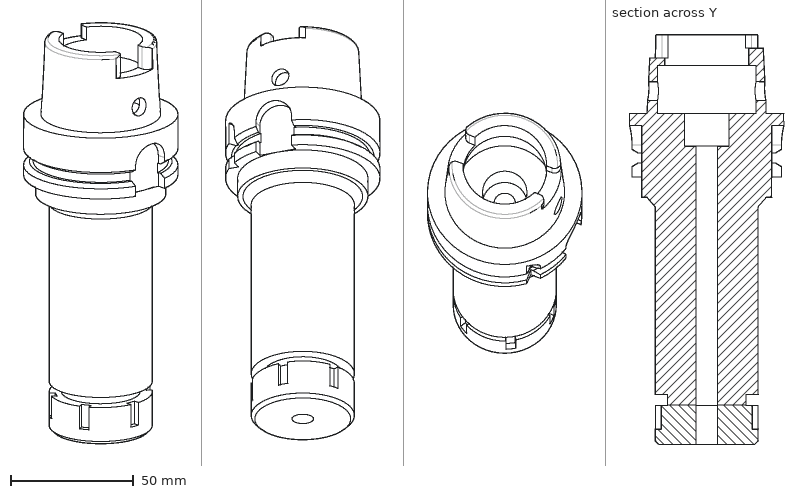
import cadquery as cq
import math


TOTAL_LENGTH = 167.0
NUT_HEIGHT = 16.0
SHANK_BOTTOM_Z = 20.4
SHANK_TOP_Z = 96.9
COLLAR_BOTTOM_Z = 100.7
FLANGE_TOP_Z = 135.0
FLANGE_HEIGHT = 26.0
FLANGE_BOTTOM_Z = FLANGE_TOP_Z - FLANGE_HEIGHT

FLANGE_DIAMETER = 63.0
FLANGE_RADIUS = FLANGE_DIAMETER / 2
COLLAR_RADIUS = 26.5
SHOULDER_RADIUS = 24.4
SHANK_RADIUS = 21.0
NECK_RADIUS = 16.0

TAPER_BASE_RADIUS = 24.4
TAPER_SLOPE = 1 / 20
TAPER_TOP_RADIUS = TAPER_BASE_RADIUS - (TOTAL_LENGTH - FLANGE_TOP_Z) * TAPER_SLOPE
RIM_ROUND = 1.3

GROOVE_CENTRE_Z = FLANGE_TOP_Z - 18.2
GROOVE_OUTER_WIDTH = 7.0
GROOVE_INNER_WIDTH = 4.0
GROOVE_LEDGE_RADIUS = 29.0
GROOVE_FLOOR_RADIUS = 27.5

RIM_BORE_RADIUS = 17.0
RIM_BORE_DEPTH = 12.7
UNDERCUT_RADIUS = 20.0
CAVITY_FLOOR_Z = FLANGE_TOP_Z
TUBE_BORE_RADIUS = 9.0
TUBE_BORE_DEPTH = 13.4
COOLANT_RADIUS = 4.3

CROSS_HOLE_DIAMETER = 7.5
CROSS_HOLE_Z = 144.0
RIM_SLOT_WIDTH = 12.5
RIM_SLOT_ROUND = 2.5
LEFT_RIM_SLOT_DEPTH = 5.5
RIGHT_RIM_SLOT_DEPTH = 9.5

RECESS_TOP_Z = FLANGE_TOP_Z - 5.0
DRIVE_WIDTH = 15.7
DRIVE_FLOOR_X = COLLAR_RADIUS
NOTCH_WIDTH = 14.0
NOTCH_FLOOR_X = 20.0
NOTCH_EDGE_Y = 20.0

NUT_RADIUS = SHANK_RADIUS
NUT_CHAMFER = 1.5
NUT_SLOT_COUNT = 6
NUT_SLOT_WIDTH = 4.0
NUT_SLOT_LENGTH = 9.7
NUT_SLOT_FLOOR_RADIUS = 18.5

CLEARANCE = 8.4


def cylinder(radius, bottom_z, top_z):
    """Cylinder on the tool axis between two heights."""
    return cq.Workplane("XY").workplane(offset=bottom_z).circle(radius).extrude(top_z - bottom_z)


def turned_blank():
    """Solid of revolution with every outside step, the V-groove and the rounded rim."""
    groove_top = GROOVE_CENTRE_Z + GROOVE_OUTER_WIDTH / 2
    groove_bottom = GROOVE_CENTRE_Z - GROOVE_OUTER_WIDTH / 2
    groove_floor_top = GROOVE_CENTRE_Z + GROOVE_INNER_WIDTH / 2
    groove_floor_bottom = GROOVE_CENTRE_Z - GROOVE_INNER_WIDTH / 2
    blank = (
        cq.Workplane("XZ")
        .moveTo(0, NUT_HEIGHT)
        .lineTo(NECK_RADIUS, NUT_HEIGHT)
        .lineTo(NECK_RADIUS, SHANK_BOTTOM_Z)
        .lineTo(SHANK_RADIUS, SHANK_BOTTOM_Z)
        .lineTo(SHANK_RADIUS, SHANK_TOP_Z)
        .lineTo(SHOULDER_RADIUS, COLLAR_BOTTOM_Z)
        .lineTo(COLLAR_RADIUS, COLLAR_BOTTOM_Z)
        .lineTo(COLLAR_RADIUS, FLANGE_BOTTOM_Z)
        .lineTo(FLANGE_RADIUS, FLANGE_BOTTOM_Z)
        .lineTo(FLANGE_RADIUS, groove_bottom)
        .lineTo(GROOVE_LEDGE_RADIUS, groove_floor_bottom)
        .lineTo(GROOVE_FLOOR_RADIUS, groove_floor_bottom)
        .lineTo(GROOVE_FLOOR_RADIUS, groove_floor_top)
        .lineTo(GROOVE_LEDGE_RADIUS, groove_floor_top)
        .lineTo(FLANGE_RADIUS, groove_top)
        .lineTo(FLANGE_RADIUS, FLANGE_TOP_Z)
        .lineTo(TAPER_BASE_RADIUS, FLANGE_TOP_Z)
        .lineTo(TAPER_TOP_RADIUS, TOTAL_LENGTH)
        .lineTo(0, TOTAL_LENGTH)
        .close()
        .revolve(360, (0, 0, 0), (0, 1, 0))
    )
    return blank.faces(">Z").edges().fillet(RIM_ROUND)


def internal_bores():
    """Clamping cavity with its undercut, coolant tube bore and through hole."""
    undercut_top_z = TOTAL_LENGTH - RIM_BORE_DEPTH
    rim_bore = cylinder(RIM_BORE_RADIUS, undercut_top_z, TOTAL_LENGTH)
    undercut = cylinder(UNDERCUT_RADIUS, CAVITY_FLOOR_Z, undercut_top_z)
    tube_bore = cylinder(TUBE_BORE_RADIUS, CAVITY_FLOOR_Z - TUBE_BORE_DEPTH, CAVITY_FLOOR_Z)
    coolant_hole = cylinder(COOLANT_RADIUS, NUT_HEIGHT, CAVITY_FLOOR_Z)
    return rim_bore.union(undercut).union(tube_bore).union(coolant_hole)


def cross_hole():
    """Hole along X through both walls of the taper."""
    return (
        cq.Workplane("YZ")
        .center(0, CROSS_HOLE_Z)
        .circle(CROSS_HOLE_DIAMETER / 2)
        .extrude(FLANGE_RADIUS, both=True)
    )


def rim_slot(depth):
    """Slot through the +X side of the rim, its mouth rounded into the taper surface."""
    half_width = RIM_SLOT_WIDTH / 2
    centre_y = half_width + RIM_SLOT_ROUND
    centre_distance = TAPER_TOP_RADIUS - RIM_SLOT_ROUND
    centre_x = math.sqrt(centre_distance**2 - centre_y**2)
    mouth_angle = math.atan2(centre_y, centre_x)
    middle_angle = (mouth_angle - math.pi / 2) / 2

    middle_x = centre_x + RIM_SLOT_ROUND * math.cos(middle_angle)
    middle_y = centre_y + RIM_SLOT_ROUND * math.sin(middle_angle)
    mouth_x = TAPER_TOP_RADIUS * math.cos(mouth_angle)
    mouth_y = TAPER_TOP_RADIUS * math.sin(mouth_angle)
    outer_x = TAPER_TOP_RADIUS + CLEARANCE
    return (
        cq.Workplane("XY")
        .workplane(offset=TOTAL_LENGTH - depth)
        .moveTo(0, -half_width)
        .lineTo(centre_x, -half_width)
        .threePointArc((middle_x, -middle_y), (mouth_x, -mouth_y))
        .lineTo(outer_x, -mouth_y)
        .lineTo(outer_x, mouth_y)
        .lineTo(mouth_x, mouth_y)
        .threePointArc((middle_x, middle_y), (centre_x, half_width))
        .lineTo(0, half_width)
        .close()
        .extrude(depth)
    )


def flange_recess(width, floor_x, centre_y):
    """Round-topped recess milled into the +X side of the flange, open at the flange bottom."""
    radius = width / 2
    return (
        cq.Workplane("YZ")
        .workplane(offset=floor_x)
        .moveTo(centre_y - radius, FLANGE_BOTTOM_Z)
        .lineTo(centre_y + radius, FLANGE_BOTTOM_Z)
        .lineTo(centre_y + radius, RECESS_TOP_Z - radius)
        .threePointArc((centre_y, RECESS_TOP_Z), (centre_y - radius, RECESS_TOP_Z - radius))
        .close()
        .extrude(FLANGE_RADIUS)
    )


def make_holder():
    """Tool holder from the threaded neck up to the hollow taper."""
    drive_recess = flange_recess(DRIVE_WIDTH, DRIVE_FLOOR_X, 0)
    notch = flange_recess(NOTCH_WIDTH, NOTCH_FLOOR_X, NOTCH_EDGE_Y + NOTCH_WIDTH / 2)
    return (
        turned_blank()
        .cut(internal_bores())
        .cut(cross_hole())
        .cut(rim_slot(RIGHT_RIM_SLOT_DEPTH))
        .cut(rim_slot(LEFT_RIM_SLOT_DEPTH).mirror("YZ"))
        .cut(drive_recess)
        .cut(drive_recess.mirror("YZ"))
        .cut(notch.mirror("YZ"))
    )


def make_nut():
    """Clamping nut with spanner slots around its upper edge."""
    nut = cylinder(NUT_RADIUS, 0, NUT_HEIGHT).faces("<Z").edges().chamfer(NUT_CHAMFER)
    nut = nut.cut(cylinder(COOLANT_RADIUS, 0, NUT_HEIGHT))
    slot = (
        cq.Workplane("XY")
        .box(CLEARANCE, NUT_SLOT_WIDTH, NUT_SLOT_LENGTH, centered=(False, True, False))
        .translate((NUT_SLOT_FLOOR_RADIUS, 0, NUT_HEIGHT - NUT_SLOT_LENGTH))
    )
    for index in range(NUT_SLOT_COUNT):
        angle = index * 360 / NUT_SLOT_COUNT
        nut = nut.cut(slot.rotate((0, 0, 0), (0, 0, 1), angle))
    return nut


holder = make_holder()
nut = make_nut()

result = cq.Compound.makeCompound([holder.val(), nut.val()])